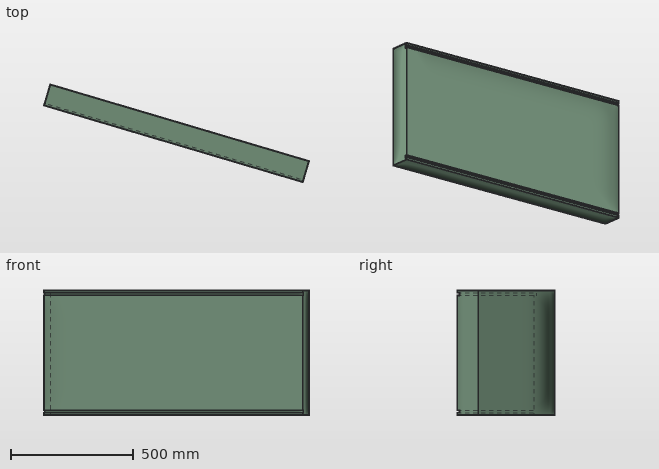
import cadquery as cq
import math

overall_width = 1081.0
panel_thickness = 90.0
panel_height = 508.0
turn_angle = 16.5

turn = math.radians(turn_angle)
panel_length = (overall_width - panel_thickness * math.sin(turn)) / math.cos(turn)

groove_width = 10.0
groove_depth = 10.0
edge_lip = 10.0


def groove_cutter(center_z):
    """Full-length bar that cuts one groove into the front (-Y) face."""
    center_y = (groove_depth - panel_thickness) / 2
    return (
        cq.Workplane("XY")
        .box(panel_length, groove_depth, groove_width)
        .translate((0, center_y, center_z))
    )


panel = cq.Workplane("XY").box(panel_length, panel_thickness, panel_height)

groove_offset = panel_height / 2 - edge_lip - groove_width / 2
for side in (-1, 1):
    panel = panel.cut(groove_cutter(side * groove_offset))

result = panel.rotate((0, 0, 0), (0, 0, 1), -turn_angle)